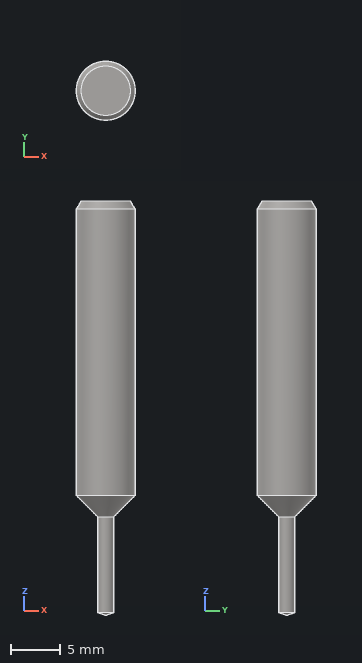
import cadquery as cq
import math

total_length = 42.0
shank_diameter = 6.0
drill_diameter = 1.65
shank_bottom_z = 12.2
end_chamfer_width = 0.5
end_chamfer_height = 0.85
shoulder_angle = 45.0
tip_slope_angle = 20.0

shank_radius = shank_diameter / 2
drill_radius = drill_diameter / 2
shoulder_height = (shank_radius - drill_radius) * math.tan(math.radians(shoulder_angle))
shoulder_bottom_z = shank_bottom_z - shoulder_height
tip_height = drill_radius * math.tan(math.radians(tip_slope_angle))


def revolve_profile(points):
    """Turn a closed (radius, z) outline into a solid about the Z axis."""
    outline = [(-radius, z) for radius, z in points]
    return cq.Workplane("YZ").polyline(outline).close().revolve(360, (0, 0), (0, 1))


def make_shank():
    """Cylindrical shank with a bevelled top end and a conical shoulder below."""
    return revolve_profile([
        (0, shoulder_bottom_z),
        (drill_radius, shoulder_bottom_z),
        (shank_radius, shank_bottom_z),
        (shank_radius, total_length - end_chamfer_height),
        (shank_radius - end_chamfer_width, total_length),
        (0, total_length),
    ])


def make_drill():
    """Slender drill with a shallow conical point, butted against the shoulder."""
    return revolve_profile([
        (0, 0),
        (drill_radius, tip_height),
        (drill_radius, shoulder_bottom_z),
        (0, shoulder_bottom_z),
    ])


shank = make_shank()
drill = make_drill()

result = cq.Compound.makeCompound([shank.val(), drill.val()])